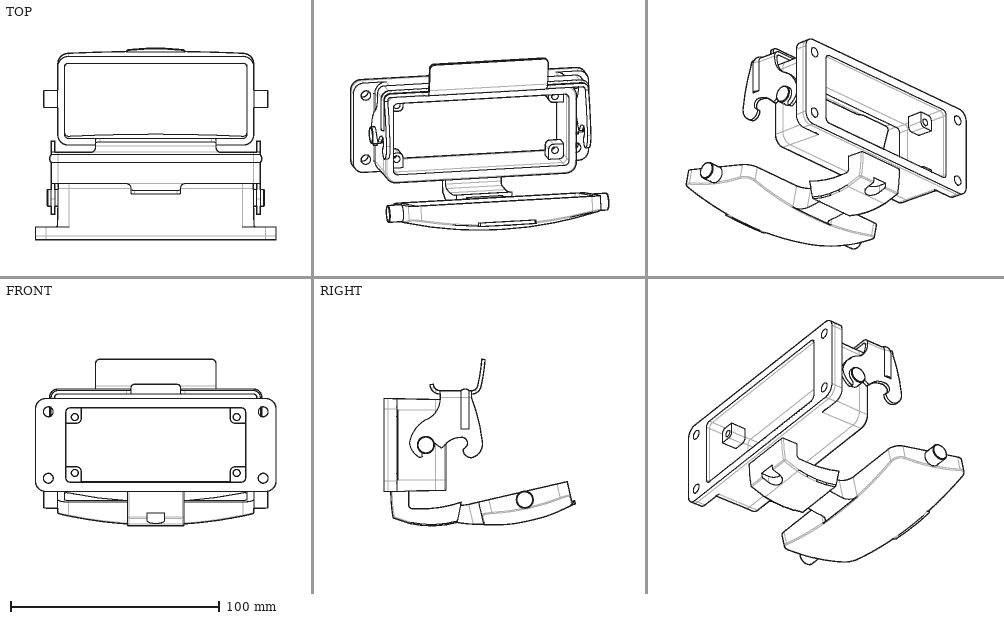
import cadquery as cq
import math

FLANGE_WIDTH = 115.7
FLANGE_HEIGHT = 44.8
FLANGE_THICKNESS = 6.2
RIM_THICKNESS = 1.9
CORNER_RADIUS = 5.1
DRAFT_ANGLE = 1.2
BODY_WIDTH = 94.5
BODY_CORNER_RADIUS = 5.5
DRAFT_END_Y = 24.6
BODY_BACK_Y = 29.9
BACK_EDGE_RADIUS = 0.7
FLANGE_FILLET_RADIUS = 0.6

WINDOW_WIDTH = 86.5
WINDOW_HEIGHT = 35.9
WINDOW_CORNER_RADIUS = 2.3
CAVITY_DRAFT_ANGLE = 0.5

MOUNT_HOLE_X = 51.6
MOUNT_HOLE_Z = 16.0
MOUNT_HOLE_DIAMETER = 4.6

POST_SIZE = 7.5
POST_CORNER_RADIUS = 2.3
POST_FRONT_Y = 9.5
POST_LENGTH = 8.0
POST_HOLE_X = 38.9
POST_HOLE_Z = 13.4
POST_HOLE_DIAMETER = 3.2

PIVOT_Y = 20.1
PIVOT_DIAMETER = 8.2
PIVOT_END_X = 52.2
PIVOT_ROOT_X = 45.1
PIN_CHAMFER = 0.3

ARM_WIDTH = 27.3
ARM_BOTTOM_Z = -38.9
ARM_FRONT_Y = 3.2
ARM_BACK_Y = 11.9
ARM_SHELF_Z = -30.5
ARM_HEEL = (4.4, -35.0)
ARM_EDGE_RADIUS = 0.7
ARM_INNER_RADIUS = 1.7
ARM_TIP = (37.1, -27.4)
ARM_TOE = (35.2, -37.3)
NOTCH_WIDTH = 8.3
NOTCH_TOP_Z = -32.7
NOTCH_CENTRE_Y = 8.1

LEVER_OUTER_X = 50.2
LEVER_TOP_Z = 26.1
SHEET_THICKNESS = 1.7
BEND_RADIUS = 3.2
STRAP_FRONT_Y = 27.0
STRAP_BACK_Y = 42.1
STRAP_LOWER_Z = LEVER_TOP_Z - SHEET_THICKNESS

BEAD_Y = 39.0
BEAD_WIDTH = 3.8
BEAD_HEIGHT = 0.8
BEAD_END_Z = 7.6

HANDLE_WIDTH = 58.1
HANDLE_CURL = [(45.8, 28.2), (47.8, 41.2)]
HANDLE_CORNER_RADIUS = 2.3
TAB_WIDTH = 23.8
TAB_CURL = [(22.9, 29.2)]
TAB_CORNER_RADIUS = 1.7
ROOT_FLARE = 2.1
STRIP_OVERLAP = 1.2

COVER_TILT = 13.0
COVER_CENTRE = (0, 66.8, -22.5)
COVER_WIDTH = 94.2
COVER_LENGTH = 43.7
COVER_WALL = 3.4
FLOOR_THICKNESS = 3.2
CAVITY_CORNER_RADIUS = 1.7
COVER_EDGE_RADIUS = 0.6
COVER_SECTIONS = [
    (-COVER_LENGTH / 2, 5.8, 11.3),
    (0.0, 8.3, 14.5),
    (COVER_LENGTH / 2, 6.4, 11.6),
]
COVER_PIN_DEPTH = 3.9
COVER_PIN_END_X = 53.9
LIP_WIDTH = 28.2
LIP_REACH = 1.5
LIP_TOP = -9.7
LIP_BOTTOM = -11.5
NECK_FLARE_RADIUS = 4.9
NECK_START_Z = -29.0
NECK_END_Y = 47.9


def mirrored_x(solid):
    """A shape together with its mirror image across X = 0."""
    return solid.union(solid.mirror("YZ"))


def xz_plane(y):
    """Sketch plane at the given Y whose extrusions run towards +Y (local x is -X)."""
    return cq.Workplane(cq.Plane(origin=(0, y, 0), xDir=(-1, 0, 0), normal=(0, 1, 0)))


def yz_plane(width):
    """Sketch plane for a Y-Z outline to be extruded by width, centred on X = 0."""
    return cq.Workplane("YZ", origin=(-width / 2, 0, 0))


def rounded_prism(width, height, radius, y_start, length, taper=0.0):
    """Rounded rectangle centred on the Y axis, extruded towards +Y."""
    sketch = cq.Sketch().rect(width, height).vertices().fillet(radius)
    return xz_plane(y_start).placeSketch(sketch).extrude(length, taper=taper)


def draft_shrink(length, draft_angle):
    """Loss of full width over a drafted length."""
    return 2 * length * math.tan(math.radians(draft_angle))


def drafted_shell(width, height, radius, y_start, draft_angle):
    """Drafted prism from y_start to DRAFT_END_Y, and the straight prism behind it."""
    length = DRAFT_END_Y - y_start
    shrink = draft_shrink(length, draft_angle)
    drafted = rounded_prism(width, height, radius, y_start, length, draft_angle)
    back = rounded_prism(
        width - shrink, height - shrink, radius - shrink / 2, DRAFT_END_Y, BODY_BACK_Y - DRAFT_END_Y
    )
    return drafted, back


def make_flange():
    rim = rounded_prism(FLANGE_WIDTH, FLANGE_HEIGHT, CORNER_RADIUS, 0, RIM_THICKNESS)
    plate = rounded_prism(
        FLANGE_WIDTH, FLANGE_HEIGHT, CORNER_RADIUS,
        RIM_THICKNESS, FLANGE_THICKNESS - RIM_THICKNESS, DRAFT_ANGLE,
    )
    return rim.union(plate)


def make_flange_fillet(height):
    """Concave round between the flange and the flat of the body's +X side."""
    r = FLANGE_FILLET_RADIUS
    k = r * (1 - math.sqrt(0.5))
    side = BODY_WIDTH / 2
    inside = side - r
    return (
        cq.Workplane("XY", origin=(0, 0, -height / 2))
        .moveTo(inside, FLANGE_THICKNESS - r)
        .lineTo(side + r, FLANGE_THICKNESS - r)
        .lineTo(side + r, FLANGE_THICKNESS)
        .threePointArc((side + k, FLANGE_THICKNESS + k), (side, FLANGE_THICKNESS + r))
        .lineTo(inside, FLANGE_THICKNESS + r)
        .close()
        .extrude(height)
    )


def make_post():
    """Screw post in the +X, +Z corner of the window."""
    inner_x = WINDOW_WIDTH / 2 - POST_SIZE
    inner_z = WINDOW_HEIGHT / 2 - POST_SIZE
    wall_bite = 1.2
    size = POST_SIZE + wall_bite
    block = cq.Workplane("XY").box(size, POST_LENGTH, size, centered=False)
    block = block.translate((inner_x, POST_FRONT_Y, inner_z))
    return block.edges("|Y and <X and <Z").fillet(POST_CORNER_RADIUS)


def hole_pattern(x, z, diameter):
    """Four holes through the whole depth of the housing."""
    corners = [(sx * x, sz * z) for sx in (-1, 1) for sz in (-1, 1)]
    return xz_plane(0).pushPoints(corners).circle(diameter / 2).extrude(BODY_BACK_Y)


def side_pin(root_x, end_x, y, z):
    """Pair of round pins along X, one on each side."""
    pin = cq.Workplane("YZ", origin=(root_x, y, z)).circle(PIVOT_DIAMETER / 2).extrude(end_x - root_x)
    return mirrored_x(pin.faces(">X").edges().chamfer(PIN_CHAMFER))


def make_arm():
    """J-shaped hinge arm under the housing, ending in the face that carries the cover."""
    overlap_z = -FLANGE_HEIGHT / 2 + 1.7
    arm = (
        yz_plane(ARM_WIDTH)
        .moveTo(ARM_FRONT_Y, overlap_z)
        .lineTo(ARM_BACK_Y, overlap_z)
        .lineTo(ARM_BACK_Y, ARM_SHELF_Z)
        .lineTo(21.4, ARM_SHELF_Z)
        .threePointArc((29.4, -29.5), ARM_TIP)
        .lineTo(*ARM_TOE)
        .threePointArc((24.1, ARM_BOTTOM_Z), (12.7, -37.8))
        .lineTo(*ARM_HEEL)
        .threePointArc((3.5, -28.3), (ARM_FRONT_Y, overlap_z))
        .close()
        .extrude(ARM_WIDTH)
    )
    inner_bend = cq.selectors.NearestToPointSelector((0, ARM_BACK_Y, ARM_SHELF_Z))
    arm = arm.edges("|X").edges(inner_bend).fillet(ARM_INNER_RADIUS)
    front_corner = cq.selectors.NearestToPointSelector((0, *ARM_HEEL))
    arm = arm.edges("|X").edges(front_corner).fillet(ARM_EDGE_RADIUS)
    arm = round_arm_sides(arm)
    return arm.cut(make_arm_notch())


def round_arm_sides(arm):
    """Round the side edges of the arm's underside and front."""
    reach = ARM_WIDTH
    heel_y, heel_z = ARM_HEEL
    toe_y = ARM_TOE[0]
    underside = cq.selectors.BoxSelector((-reach, ARM_FRONT_Y, 2 * heel_z), (reach, toe_y - 1.2, heel_z + 1.2))
    front = cq.selectors.BoxSelector((-reach, 0, 2 * heel_z), (reach, heel_y + 0.5, 0))
    return arm.edges("not |X").edges(underside + front).fillet(ARM_EDGE_RADIUS)


def make_arm_notch():
    """Round-ended notch in the lower front edge of the arm."""
    depth = NOTCH_TOP_Z - ARM_BOTTOM_Z
    base = cq.Workplane("XY", origin=(0, NOTCH_CENTRE_Y, ARM_BOTTOM_Z))
    round_end = base.circle(NOTCH_WIDTH / 2).extrude(depth)
    mouth = base.rect(NOTCH_WIDTH, 2 * NOTCH_CENTRE_Y).extrude(depth)
    front_half = mouth.translate((0, -NOTCH_CENTRE_Y, 0))
    return round_end.union(front_half)


def make_housing():
    body_height = FLANGE_HEIGHT - draft_shrink(FLANGE_THICKNESS - RIM_THICKNESS, DRAFT_ANGLE)
    drafted, back = drafted_shell(
        BODY_WIDTH, body_height, BODY_CORNER_RADIUS, FLANGE_THICKNESS, DRAFT_ANGLE
    )
    back = back.faces(">Y").edges().fillet(BACK_EDGE_RADIUS)
    window = rounded_prism(WINDOW_WIDTH, WINDOW_HEIGHT, WINDOW_CORNER_RADIUS, 0, RIM_THICKNESS)
    cavity, cavity_back = drafted_shell(
        WINDOW_WIDTH, WINDOW_HEIGHT, WINDOW_CORNER_RADIUS, RIM_THICKNESS, CAVITY_DRAFT_ANGLE
    )
    posts = mirrored_x(make_post())
    posts = posts.union(posts.mirror("XY"))
    fillets = mirrored_x(make_flange_fillet(body_height - 2 * BODY_CORNER_RADIUS))
    housing = make_flange().union(drafted).union(back).union(fillets).union(make_arm())
    housing = housing.cut(window).cut(cavity).cut(cavity_back)
    housing = housing.union(posts)
    housing = housing.cut(hole_pattern(MOUNT_HOLE_X, MOUNT_HOLE_Z, MOUNT_HOLE_DIAMETER))
    housing = housing.cut(hole_pattern(POST_HOLE_X, POST_HOLE_Z, POST_HOLE_DIAMETER))
    return housing.union(side_pin(PIVOT_ROOT_X, PIVOT_END_X, PIVOT_Y, 0))


def lever_side_outline():
    """Side outline: strap, rear latch hook and front hook around the pivot pin, as a wide prism."""
    hole_radius = PIVOT_DIAMETER / 2
    open_angle = math.radians(15)
    close_angle = math.radians(-117)
    hole_start = (PIVOT_Y + hole_radius * math.cos(open_angle), hole_radius * math.sin(open_angle))
    hole_end = (PIVOT_Y + hole_radius * math.cos(close_angle), hole_radius * math.sin(close_angle))
    width = 2 * LEVER_OUTER_X
    return (
        yz_plane(width)
        .moveTo(STRAP_FRONT_Y, LEVER_TOP_Z)
        .lineTo(STRAP_BACK_Y, LEVER_TOP_Z)
        .lineTo(STRAP_BACK_Y, 22.7)
        .threePointArc((45.8, 10.4), (47.3, 1.5))
        .threePointArc((45.8, -3.8), (42.1, -6.1))
        .threePointArc((39.1, -5.0), (38.0, -2.2))
        .lineTo(39.0, -1.3)
        .threePointArc((40.0, 1.4), (36.7, 3.6))
        .threePointArc((33.0, 2.8), (29.6, 0.3))
        .lineTo(27.7, -1.5)
        .lineTo(*hole_start)
        .threePointArc((PIVOT_Y, hole_radius), hole_end)
        .lineTo(18.4, -5.4)
        .threePointArc((17.5, -5.9), (16.3, -5.4))
        .threePointArc((13.3, -2.2), (12.3, 1.2))
        .threePointArc((14.2, 6.4), (19.7, 11.9))
        .threePointArc((25.1, 16.1), (STRAP_FRONT_Y, 22.7))
        .close()
        .extrude(width)
    )


def bent_sheet():
    """Downward-open U of bent sheet, long enough in Y for the whole lever."""
    height = 34.7
    length = 52.1
    inner_width = 2 * (LEVER_OUTER_X - SHEET_THICKNESS)

    def bent_block(width, top, radius):
        block = cq.Workplane("XY", origin=(0, length / 2, top - height / 2)).box(width, length, height)
        return block.edges("|Y and >Z").fillet(radius)

    outer = bent_block(2 * LEVER_OUTER_X, LEVER_TOP_Z, BEND_RADIUS)
    return outer.cut(bent_block(inner_width, STRAP_LOWER_Z, BEND_RADIUS - SHEET_THICKNESS))


def stiffening_bead():
    """Raised round bead running over the strap and down both arms."""
    x = LEVER_OUTER_X
    z = LEVER_TOP_Z
    r = BEND_RADIUS
    k = r * (1 - math.sqrt(0.5))
    path = (
        cq.Workplane("XZ", origin=(0, BEAD_Y, 0))
        .moveTo(-x, BEAD_END_Z)
        .lineTo(-x, z - r)
        .threePointArc((-x + k, z - k), (-x + r, z))
        .lineTo(x - r, z)
        .threePointArc((x - k, z - k), (x, z - r))
        .lineTo(x, BEAD_END_Z)
    )
    half = BEAD_WIDTH / 2
    sink = SHEET_THICKNESS / 2
    return (
        cq.Workplane("XY", origin=(-x, BEAD_Y, BEAD_END_Z))
        .moveTo(sink, -half)
        .lineTo(0, -half)
        .threePointArc((-BEAD_HEIGHT, 0), (0, half))
        .lineTo(sink, half)
        .close()
        .sweep(path)
    )


def flare_mask(width, root_y, direction):
    """Plan mask of a strip leaving the strap along Y, widened by concave rounds at its root."""
    half = width / 2
    f = ROOT_FLARE
    k = f * (1 - math.sqrt(0.5))
    inside_y = root_y - direction * STRIP_OVERLAP
    bend_y = root_y + direction * k
    straight_y = root_y + direction * f
    tip_y = root_y + direction * 11.6
    return (
        cq.Workplane("XY")
        .moveTo(-half - f, inside_y)
        .lineTo(-half - f, root_y)
        .threePointArc((-half - k, bend_y), (-half, straight_y))
        .lineTo(-half, tip_y)
        .lineTo(half, tip_y)
        .lineTo(half, straight_y)
        .threePointArc((half + k, bend_y), (half + f, root_y))
        .lineTo(half + f, inside_y)
        .close()
        .extrude(2 * LEVER_TOP_Z)
    )


def curled_strip(width, root_y, direction, curl_points, corner_radius):
    """Sheet strip that leaves the strap level and curls up through tangent arcs."""
    middle_z = LEVER_TOP_Z - SHEET_THICKNESS / 2
    start_y = root_y - direction * STRIP_OVERLAP
    path = cq.Workplane("YZ").moveTo(start_y, middle_z).lineTo(root_y, middle_z)
    for point in curl_points:
        path = path.tangentArcPoint(point, relative=False)
    section = cq.Workplane("XZ", origin=(0, start_y, middle_z)).rect(width + 2 * ROOT_FLARE, SHEET_THICKNESS)
    strip = section.sweep(path).intersect(flare_mask(width, root_y, direction))
    return strip.faces(">Z").edges("not |X").fillet(corner_radius)


def make_handle():
    """Upright finger plate at the back of the strap."""
    return curled_strip(HANDLE_WIDTH, STRAP_BACK_Y, 1, HANDLE_CURL, HANDLE_CORNER_RADIUS)


def make_tab():
    """Small tab at the front of the strap."""
    return curled_strip(TAB_WIDTH, STRAP_FRONT_Y, -1, TAB_CURL, TAB_CORNER_RADIUS)


def make_lever():
    lever = bent_sheet().intersect(lever_side_outline())
    return lever.union(stiffening_bead()).union(make_handle()).union(make_tab())


def dished_block(floor_lift):
    """Flat-topped block with a doubly curved underside, raised by floor_lift."""
    half = COVER_WIDTH / 2
    wires = []
    for place, side_depth, middle_depth in COVER_SECTIONS:
        side = -side_depth + floor_lift
        middle = -middle_depth + floor_lift
        section = (
            xz_plane(place)
            .moveTo(-half, 0)
            .lineTo(-half, side)
            .threePointArc((0, middle), (half, side))
            .lineTo(half, 0)
            .close()
        )
        wires.append(section.val())
    return cq.Workplane(cq.Solid.makeLoft(wires))


def plan_prism(width, length, radius):
    """Rounded rectangle standing below the rim plane, deeper than the cover."""
    depth = 23.1
    sketch = cq.Sketch().rect(width, length).vertices().fillet(radius)
    return cq.Workplane("XY").placeSketch(sketch).extrude(-depth)


def make_cavity():
    width = COVER_WIDTH - 2 * COVER_WALL
    length = COVER_LENGTH - 2 * COVER_WALL
    pocket = plan_prism(width, length, CAVITY_CORNER_RADIUS)
    return dished_block(FLOOR_THICKNESS).intersect(pocket)


def make_lip():
    """Slightly bowed finger lip on the far end, at the lower edge."""
    half = LIP_WIDTH / 2
    end = COVER_LENGTH / 2
    tip = end + LIP_REACH
    return (
        cq.Workplane("XY", origin=(0, 0, LIP_BOTTOM))
        .moveTo(-half, end - COVER_WALL / 2)
        .lineTo(-half, end)
        .lineTo(-half + LIP_REACH / 2, tip - LIP_REACH / 2)
        .threePointArc((0, tip), (half - LIP_REACH / 2, tip - LIP_REACH / 2))
        .lineTo(half, end)
        .lineTo(half, end - COVER_WALL / 2)
        .close()
        .extrude(LIP_TOP - LIP_BOTTOM)
    )


def place_cover(shape):
    """Swing a cover shape to its open position."""
    return shape.rotate((0, 0, 0), (1, 0, 0), COVER_TILT).translate(COVER_CENTRE)


def make_neck():
    """Neck from the cover's hinge end to the arm, flaring into the end wall."""
    r = NECK_FLARE_RADIUS
    half = ARM_WIDTH / 2 - r
    k = r * (1 - math.sqrt(0.5))
    end = -COVER_LENGTH / 2
    inside = end + 1.2
    front = end - 13.9
    plan = (
        cq.Workplane("XY")
        .moveTo(-half, front)
        .lineTo(-half, end - r)
        .threePointArc((-half - k, end - k), (-half - r, end))
        .lineTo(-half - r, inside)
        .lineTo(half + r, inside)
        .lineTo(half + r, end)
        .threePointArc((half + k, end - k), (half, end - r))
        .lineTo(half, front)
        .close()
        .extrude(23.1, both=True)
    )
    fraction_down = (NECK_START_Z - ARM_TIP[1]) / (ARM_TOE[1] - ARM_TIP[1])
    start_y = ARM_TIP[0] + fraction_down * (ARM_TOE[0] - ARM_TIP[0])
    side = (
        yz_plane(COVER_WIDTH)
        .moveTo(start_y, NECK_START_Z)
        .lineTo(*ARM_TOE)
        .threePointArc((40.5, -38.0), (NECK_END_Y, -38.1))
        .lineTo(NECK_END_Y, -26.7)
        .lineTo(40.8, -28.5)
        .close()
        .extrude(COVER_WIDTH)
    )
    return place_cover(plan).intersect(side)


def make_cover():
    plan = plan_prism(COVER_WIDTH, COVER_LENGTH, CORNER_RADIUS)
    cover = dished_block(0).intersect(plan)
    underside = cq.selectors.NearestToPointSelector((0, 0, -COVER_SECTIONS[1][2]))
    cover = cover.faces(underside).edges().fillet(COVER_EDGE_RADIUS)
    cover = cover.union(make_lip()).cut(make_cavity())
    cover = cover.union(side_pin(COVER_WIDTH / 2, COVER_PIN_END_X, 0, -COVER_PIN_DEPTH))
    return place_cover(cover).union(make_neck())


housing = make_housing()
lever = make_lever()
cover = make_cover()

result = cq.Compound.makeCompound([part.solids().val() for part in (housing, lever, cover)])